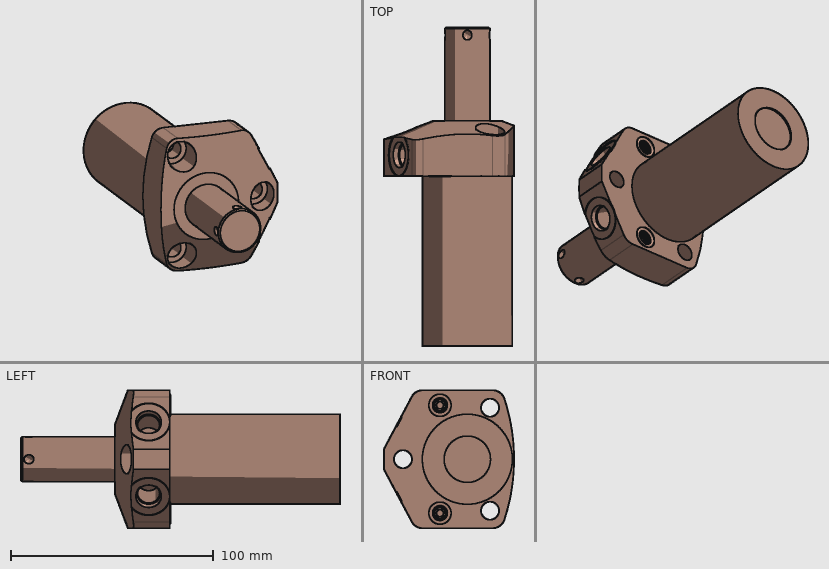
import cadquery as cq
import math

total_length = 157.35
body_length = 83.9
flange_thickness = 27.2
rod_end = total_length - body_length

body_diameter = 44.45
end_recess_diameter = 22.9
end_recess_depth = 0.8
rod_diameter = 22.4
rod_chamfer = 0.8
dimple_count = 4
dimple_radius = 2.4
dimple_offset = 3.9

flange_left = -41.19
flange_right = 23.1
flange_half_height = 34.11
nose_half_height = 5.0
side_corner_x = -25.7
right_corner_x = 16.8
corner_radius = 6.35

cone_top_radius = 17.1
cone_slope = math.radians(20.7)

screw_x = 11.2
screw_z = 25.4
nose_screw_x = -31.75
screw_centres = [(nose_screw_x, 0), (screw_x, screw_z), (screw_x, -screw_z)]
screw_hole_diameter = 8.8
screw_head_diameter = 14.3
screw_head_seat_y = 10.0

port_y = 10.5
port_z = 18.5
spotface_radius = 10.4
spotface_depth = 0.5
port_mouth_radius = 6.3
port_taper_end_radius = 5.8
port_taper_end_depth = 3.1
port_bore_radius = 5.4
port_bore_start_depth = 3.6
port_depth = 16.5

passage_x = -13.5
passage_z = 26.6
seal_section_radius = 0.95
seal_centre_radius = 4.6
seal_protrusion = 0.4
seal_bite = 0.05
seal_groove_radius = seal_centre_radius + seal_section_radius - seal_bite
seal_groove_depth = 2 * seal_section_radius - seal_protrusion - seal_bite
passage_bores = [(3.3, 2.5), (2.7, 3.5), (1.75, 6.0)]


def cylinder_along_y(radius, y_start, y_end, x=0, z=0):
    """Cylinder parallel to Y between two Y stations."""
    return cq.Workplane(cq.Solid.makeCylinder(
        radius, y_end - y_start, cq.Vector(x, y_start, z), cq.Vector(0, 1, 0)))


def flange_blank():
    """Flange plate: slanted sides, a flat nose, a bowed right side and rounded corners."""
    plate = (
        cq.Workplane("XZ")
        .moveTo(flange_left, -nose_half_height)
        .lineTo(side_corner_x, -flange_half_height)
        .lineTo(right_corner_x, -flange_half_height)
        .threePointArc((flange_right, 0), (right_corner_x, flange_half_height))
        .lineTo(side_corner_x, flange_half_height)
        .lineTo(flange_left, nose_half_height)
        .close()
        .extrude(-flange_thickness)
    )
    return plate.edges("|Y").edges(">Z or <Z").fillet(corner_radius)


def cone_envelope():
    """Solid of revolution about Y whose sloped end trims the top of the flange."""
    base_radius = cone_top_radius + flange_thickness / math.tan(cone_slope)
    return (
        cq.Workplane("XY")
        .polyline([(0, 0), (base_radius, 0), (cone_top_radius, flange_thickness), (0, flange_thickness)])
        .close()
        .revolve(360, (0, 0, 0), (0, 1, 0))
    )


def rod():
    """Piston rod with a chamfered end and four conical dimples around it."""
    shaft = cylinder_along_y(rod_diameter / 2, 0, rod_end).faces(">Y").chamfer(rod_chamfer)
    dimple_y = rod_end - dimple_offset
    for number in range(dimple_count):
        angle = number * 2 * math.pi / dimple_count
        outward = cq.Vector(math.cos(angle), 0, math.sin(angle))
        mouth = outward * (rod_diameter / 2) + cq.Vector(0, dimple_y, 0)
        shaft = shaft.cut(cq.Workplane(
            cq.Solid.makeCone(dimple_radius, 0, dimple_radius, mouth, outward * -1)))
    return shaft


def body():
    """Barrel with a shallow round recess in its closed end."""
    barrel = cylinder_along_y(body_diameter / 2, -body_length, 0)
    recess = cylinder_along_y(end_recess_diameter / 2, -body_length, -body_length + end_recess_depth)
    return barrel.cut(recess)


def screw_hole(x, z):
    """Clearance hole from the mounting face with a head counterbore from the cone side."""
    hole = cylinder_along_y(screw_hole_diameter / 2, 0, flange_thickness, x, z)
    head = cylinder_along_y(screw_head_diameter / 2, screw_head_seat_y, flange_thickness, x, z)
    return hole.union(head)


def port(side):
    """Spotfaced port with a tapered seal seat, normal to the slanted side; side is +1 or -1 along Z."""
    run = side_corner_x - flange_left
    rise = flange_half_height - nose_half_height
    port_x = flange_left + run * (port_z - nose_half_height) / rise
    inward = cq.Vector(rise, 0, -side * run)
    along_face = cq.Vector(0, 1, 0)
    plane = cq.Plane(
        origin=(port_x, port_y, side * port_z), xDir=along_face, normal=along_face.cross(inward))
    return (
        cq.Workplane(plane)
        .polyline([
            (0, 0),
            (spotface_radius, 0),
            (spotface_radius, spotface_depth),
            (port_mouth_radius, spotface_depth),
            (port_taper_end_radius, port_taper_end_depth),
            (port_bore_radius, port_bore_start_depth),
            (port_bore_radius, port_depth),
            (0, port_depth),
        ])
        .close()
        .revolve(360, (0, 0, 0), (0, 1, 0))
    )


def passage_cut(z):
    """Seal groove and the stepped blind bores below it."""
    cut = cylinder_along_y(seal_groove_radius, 0, seal_groove_depth, passage_x, z)
    for radius, depth in passage_bores:
        cut = cut.union(cylinder_along_y(radius, 0, depth, passage_x, z))
    return cut


def seal_ring(z):
    """O-ring seated in its groove and standing slightly proud of the mounting face."""
    centre = cq.Vector(passage_x, seal_section_radius - seal_protrusion, z)
    return cq.Workplane(cq.Solid.makeTorus(
        seal_centre_radius, seal_section_radius, centre, cq.Vector(0, 1, 0)))


flange = flange_blank().intersect(cone_envelope())
for x, z in screw_centres:
    flange = flange.cut(screw_hole(x, z))
for side in (1, -1):
    flange = flange.cut(port(side))
    flange = flange.cut(passage_cut(side * passage_z))
    flange = flange.union(seal_ring(side * passage_z))

result = flange.union(body()).union(rod())